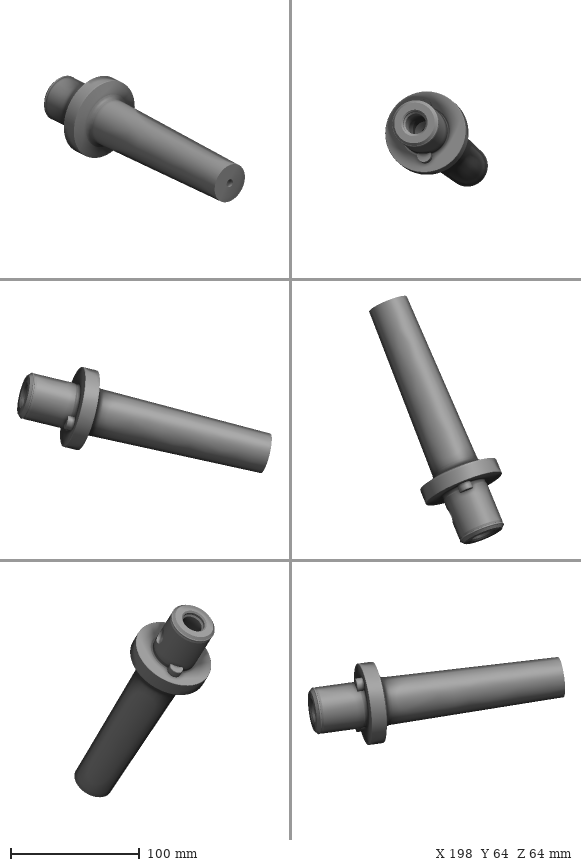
import cadquery as cq
import math

length = 198.0
flange_radius = 64.0 / 2

spigot_radius = 18.2
nose_radius = 16.0
lead_in_radius = 17.8
groove_start = 2.0
groove_end = 3.5
lead_in_end = 5.1

ring_section_radius = (groove_end - groove_start) / 2
ring_outer_radius = 18.5
ring_center_radius = ring_outer_radius - ring_section_radius
groove_floor_radius = ring_center_radius - ring_section_radius

flange_front = 40.2
undercut_start = 37.0
undercut_floor_start = 38.2
undercut_radius = 17.72
undercut_mouth_radius = 19.6
undercut_face_depth = 0.4
undercut_corner_radius = 0.8

flange_back = 52.0
flange_edge_length = 1.2
flange_front_chamfer = 0.3
flange_edge_drop = 0.1
flange_back_angle = 15.5

neck_end = 58.2
neck_radius = 18.8
neck_fillet_radius = 4.2
shank_end_radius = 15.8

bore_mouth_radius = 10.5
bore_counter_radius = 9.3
bore_counter_depth = 3.2
bore_radius = 8.1
bore_depth = 39.6
bore_tip_angle = 59.0
coolant_radius = 3.27

cross_hole_x = 25.0
cross_hole_radius = 6.7

pin_radius = 5.5
pin_reach = 25.0
pin_center_radius = pin_reach - pin_radius
pin_front = 34.6
pin_chamfer_length = 0.5
pin_chamfer_drop = 0.2


def revolve_about_x(profile):
    return profile.close().revolve(360, (0, 0, 0), (1, 0, 0))


def make_blank():
    """Turned outside shape: spigot, flange and tapered shank."""
    undercut_back = flange_front + undercut_face_depth
    back_edge_radius = flange_radius - flange_edge_drop
    shank_slope = (neck_radius - shank_end_radius) / (length - neck_end)
    cone_slope = math.tan(math.radians(flange_back_angle))
    corner_x = (
        flange_back + cone_slope * (back_edge_radius - neck_radius - shank_slope * neck_end)
    ) / (1 - cone_slope * shank_slope)
    corner_radius = neck_radius + shank_slope * (neck_end - corner_x)

    blank = revolve_about_x(
        cq.Workplane("XY")
        .moveTo(0, 0)
        .lineTo(0, nose_radius)
        .lineTo(groove_start, lead_in_radius)
        .lineTo(groove_start, groove_floor_radius)
        .lineTo(groove_end, groove_floor_radius)
        .lineTo(groove_end, lead_in_radius)
        .lineTo(lead_in_end, spigot_radius)
        .lineTo(undercut_start, spigot_radius)
        .lineTo(undercut_floor_start, undercut_radius)
        .lineTo(undercut_back - undercut_corner_radius, undercut_radius)
        .radiusArc((undercut_back, undercut_radius + undercut_corner_radius), -undercut_corner_radius)
        .lineTo(flange_front, undercut_mouth_radius)
        .lineTo(flange_front, flange_radius - flange_front_chamfer)
        .lineTo(flange_front + flange_front_chamfer, flange_radius)
        .lineTo(flange_back - flange_edge_length, flange_radius)
        .lineTo(flange_back, back_edge_radius)
        .lineTo(corner_x, corner_radius)
        .lineTo(length, shank_end_radius)
        .lineTo(length, 0)
    )
    corner_circle = cq.selectors.BoxSelector(
        ((flange_back + corner_x) / 2, -flange_radius, -flange_radius),
        ((corner_x + length) / 2, flange_radius, flange_radius),
        boundingbox=True,
    )
    return blank.edges(corner_circle).fillet(neck_fillet_radius)


def make_bore():
    """Stepped bore with a conical tip that opens into the coolant hole."""
    mouth_chamfer = bore_mouth_radius - bore_counter_radius
    step_chamfer = bore_counter_radius - bore_radius
    tip_length = (bore_radius - coolant_radius) / math.tan(math.radians(bore_tip_angle))
    return revolve_about_x(
        cq.Workplane("XY")
        .moveTo(0, 0)
        .lineTo(0, bore_mouth_radius)
        .lineTo(mouth_chamfer, bore_counter_radius)
        .lineTo(bore_counter_depth, bore_counter_radius)
        .lineTo(bore_counter_depth + step_chamfer, bore_radius)
        .lineTo(bore_depth, bore_radius)
        .lineTo(bore_depth + tip_length, coolant_radius)
        .lineTo(length, coolant_radius)
        .lineTo(length, 0)
    )


def make_cross_hole():
    """Radial hole from the +Y side of the spigot into the bore."""
    return (
        cq.Workplane("XZ")
        .center(cross_hole_x, 0)
        .circle(cross_hole_radius)
        .extrude(-2 * spigot_radius)
    )


def make_adapter():
    return make_blank().cut(make_bore()).cut(make_cross_hole())


def make_o_ring():
    return (
        cq.Workplane("XY")
        .center((groove_start + groove_end) / 2, ring_center_radius)
        .circle(ring_section_radius)
        .revolve(360, (0, -ring_center_radius, 0), (1, -ring_center_radius, 0))
    )


def make_driving_pin(side):
    """Pin on the flange face at +Z or -Z, hollowed underneath to sit on the spigot."""
    pin = (
        cq.Workplane("YZ", origin=(pin_front, 0, side * pin_center_radius))
        .circle(pin_radius)
        .extrude(flange_front - pin_front)
        .faces("<X")
        .chamfer(pin_chamfer_length, pin_chamfer_drop)
    )
    spigot = cq.Workplane("YZ").circle(spigot_radius).extrude(length)
    return pin.cut(spigot)


adapter = make_adapter()
o_ring = make_o_ring()
driving_pins = [make_driving_pin(side) for side in (1, -1)]

result = cq.Compound.makeCompound(
    [adapter.val(), o_ring.val(), *[pin.val() for pin in driving_pins]]
)